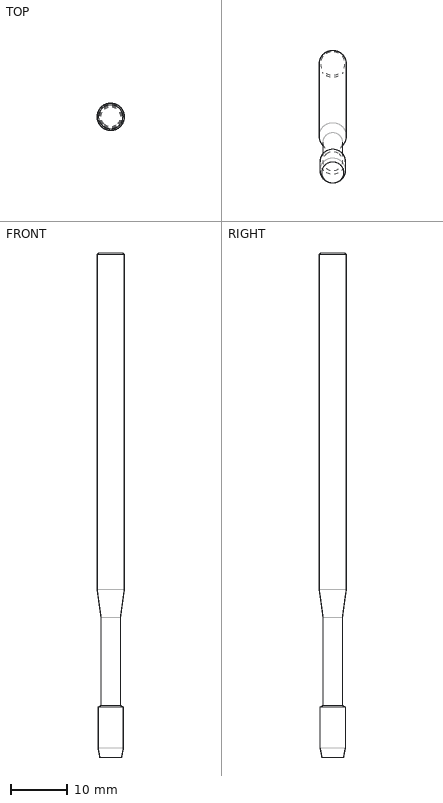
import cadquery as cq

TOTAL_LENGTH = 90.0

SHANK_RADIUS = 4.9 / 2
SHANK_LENGTH = 60.0
SHANK_CHAMFER = 0.3
CONE_LENGTH = 5.0
NECK_RADIUS = 3.5 / 2

HEAD_RADIUS = 4.55 / 2
HEAD_LENGTH = 9.3
SHOULDER_RISE = 0.3
TIP_RADIUS = 3.9 / 2
TIP_LENGTH = 1.7

CONE_TOP = TOTAL_LENGTH - SHANK_LENGTH
CONE_BOTTOM = CONE_TOP - CONE_LENGTH


def revolve_profile(points):
    """Turn a closed (radius, height) outline about the Z axis."""
    return cq.Workplane("XZ").polyline(points).close().revolve(360, (0, 0, 0), (0, 1, 0))


def make_shank():
    return revolve_profile([
        (0, HEAD_LENGTH),
        (NECK_RADIUS, HEAD_LENGTH),
        (NECK_RADIUS, CONE_BOTTOM),
        (SHANK_RADIUS, CONE_TOP),
        (SHANK_RADIUS, TOTAL_LENGTH - SHANK_CHAMFER),
        (SHANK_RADIUS - SHANK_CHAMFER, TOTAL_LENGTH),
        (0, TOTAL_LENGTH),
    ])


def make_head():
    return revolve_profile([
        (0, 0),
        (TIP_RADIUS, 0),
        (HEAD_RADIUS, TIP_LENGTH),
        (HEAD_RADIUS, HEAD_LENGTH - SHOULDER_RISE),
        (NECK_RADIUS, HEAD_LENGTH),
        (0, HEAD_LENGTH),
    ])


shank = make_shank()
head = make_head()

result = cq.Compound.makeCompound([shank.val(), head.val()])